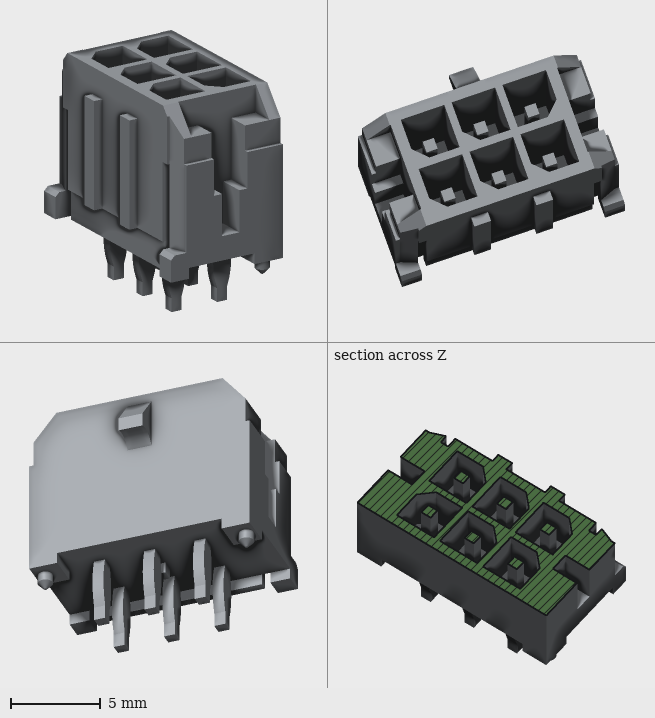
import cadquery as cq


overall_length = 13.15
cheek_thickness = 0.25
top_z = 9.9
underside_z = 0.65
back_y = 3.43
front_y = -back_y
end_x = overall_length / 2
shell_x = end_x - cheek_thickness
core_x = 4.9

front_edge_x = 5.39
slant_inner_y = -3.29
slant_outer_y = -2.92
cheek_top_z = 6.75
corner_chamfer_x = 1.37
shelf_z = 8.25
shelf_front_y = -2.42
shelf_back_y = 2.7

wide_channel_width = 2.2
wide_channel_floor_z = 4.59
narrow_channel_width = 1.13
narrow_channel_floor_z = 2.09

corner_slot_top_z = 6.54
skirt_top_z = 1.81
skirt_setback = 0.2
rib_width = 0.99
rib_offset_x = 1.83
rib_front_y = -3.97
rib_top_z = 8.3

front_foot_y = -3.93
front_foot_back_y = -2.76
front_foot_top_z = 1.56
front_foot_chamfer = 0.25
back_foot_front_y = 1.58
standoff_size = 0.68
peg_x = 6.0
peg_y = 2.43
peg_radius = 0.43
peg_shoulder_z = -0.53
peg_tip_z = -0.9
peg_tip_radius = 0.08

pitch = 3.0
pocket_size = 2.56
pocket_key = 0.79
pocket_floor_z = 1.81
pin_size = 0.66
pin_top_z = 7.23
pin_bottom_z = -3.18
bulge_half_width = 0.59
bulge_z = -0.82
bulge_half_height = 1.55

latch_width = 1.42
latch_tip_y = 4.83
latch_top_z = 9.34
latch_tip_top_z = 7.72
latch_tip_bottom_z = 6.93
latch_root_z = 6.45
latch_crown_y = 4.15
latch_crown_z = 7.01


def block(x0, x1, y0, y1, z0, z1):
    """Rectangular block between two opposite corners."""
    return cq.Workplane("XY").box(x1 - x0, y1 - y0, z1 - z0, centered=False).translate((x0, y0, z0))


def both_ends(solid):
    """A solid at the +X end joined with its mirror image at the -X end."""
    return solid.union(solid.mirror("YZ"))


def extrude_along_x(profile, length, centre_x):
    """Extrude a closed YZ profile symmetrically about X = centre_x."""
    return profile.extrude(length / 2, both=True).translate((centre_x, 0, 0))


def shell():
    """Housing block with slanted front corners and chamfered upper ends."""
    half_outline = [
        (shell_x, back_y),
        (shell_x, slant_outer_y),
        (front_edge_x, slant_inner_y),
        (front_edge_x, front_y),
    ]
    mirrored_outline = [(-x, y) for x, y in reversed(half_outline)]
    body = (
        cq.Workplane("XY", origin=(0, 0, underside_z))
        .polyline(half_outline + mirrored_outline)
        .close()
        .extrude(top_z - underside_z)
    )
    corner = (
        cq.Workplane("XZ")
        .polyline([(shell_x - corner_chamfer_x, top_z), (shell_x, shelf_z), (shell_x, top_z)])
        .close()
        .extrude(back_y, both=True)
    )
    return body.cut(both_ends(corner))


def cheeks():
    """Thin plates that thicken the lower part of both ends."""
    return both_ends(block(shell_x, end_x, slant_outer_y, back_y, underside_z, cheek_top_z))


def feet():
    """Chamfered front feet and plain back feet at both ends."""
    front_foot = (
        block(front_edge_x, end_x, front_foot_y, front_foot_back_y, 0, front_foot_top_z)
        .edges("<Y and >Z")
        .chamfer(front_foot_chamfer)
    )
    back_foot = block(core_x, end_x, back_foot_front_y, back_y, 0, underside_z)
    return both_ends(front_foot.union(back_foot))


def skirt():
    """Front wall that carries the housing front down to the standing plane."""
    return block(-core_x, core_x, front_y, front_foot_back_y, 0, underside_z)


def standoff():
    """Square post under the middle of the housing."""
    half = standoff_size / 2
    return block(-half, half, -half, half, 0, underside_z)


def end_recesses():
    """Open shelves and the stepped channel cut into both ends."""
    shelf = block(core_x, end_x, shelf_front_y, shelf_back_y, shelf_z, top_z)
    half_wide = wide_channel_width / 2
    half_narrow = narrow_channel_width / 2
    wide = block(core_x, end_x, -half_wide, half_wide, wide_channel_floor_z, top_z)
    narrow = block(core_x, end_x, -half_narrow, half_narrow, narrow_channel_floor_z, top_z)
    return both_ends(shelf.union(wide).union(narrow))


def front_recesses():
    """Vertical slots beside the front corners and the set-back of the skirt."""
    slot = block(core_x, front_edge_x, front_y, front_foot_back_y, 0, corner_slot_top_z)
    setback = block(-core_x, core_x, front_y, front_y + skirt_setback, 0, skirt_top_z)
    return both_ends(slot).union(setback)


def ribs():
    """Two vertical ribs on the front face."""
    rib = block(
        rib_offset_x - rib_width / 2,
        rib_offset_x + rib_width / 2,
        rib_front_y,
        front_y + skirt_setback,
        skirt_top_z,
        rib_top_z,
    )
    return both_ends(rib)


def pocket(x, y, key_on_right):
    """Square contact pocket with one front corner cut off as a key."""
    side = ">X" if key_on_right else "<X"
    half = pocket_size / 2
    return (
        block(x - half, x + half, y - half, y + half, pocket_floor_z, top_z)
        .edges(f"|Z and <Y and {side}")
        .chamfer(pocket_key)
    )


def pin(x, y):
    """Square contact pin whose tail bulges into a press-fit section."""
    half = pin_size / 2
    neck_z = bulge_z - bulge_half_height
    shoulder_z = bulge_z + bulge_half_height
    profile = (
        cq.Workplane("YZ")
        .moveTo(y - half, pin_bottom_z)
        .lineTo(y + half, pin_bottom_z)
        .lineTo(y + half, neck_z)
        .threePointArc((y + bulge_half_width, bulge_z), (y + half, shoulder_z))
        .lineTo(y + half, pin_top_z)
        .lineTo(y - half, pin_top_z)
        .lineTo(y - half, shoulder_z)
        .threePointArc((y - bulge_half_width, bulge_z), (y - half, neck_z))
        .close()
    )
    return extrude_along_x(profile, pin_size, x)


def pegs():
    """Round locating pegs with conical tips under the back feet."""
    peg = (
        cq.Workplane("XZ")
        .polyline([
            (0, underside_z),
            (peg_radius, underside_z),
            (peg_radius, peg_shoulder_z),
            (peg_tip_radius, peg_tip_z),
            (0, peg_tip_z),
        ])
        .close()
        .revolve(360, (0, 0, 0), (0, 1, 0))
        .translate((peg_x, peg_y, 0))
    )
    return both_ends(peg)


def latch():
    """Ramped latch on the back face with a hollowed underside."""
    profile = (
        cq.Workplane("YZ")
        .moveTo(back_y, latch_top_z)
        .lineTo(latch_tip_y, latch_tip_top_z)
        .lineTo(latch_tip_y, latch_tip_bottom_z)
        .threePointArc((latch_crown_y, latch_crown_z), (back_y, latch_root_z))
        .close()
    )
    return extrude_along_x(profile, latch_width, 0)


housing = shell().union(cheeks()).union(skirt())
housing = housing.cut(end_recesses()).cut(front_recesses())
for addition in (feet(), standoff(), ribs(), pegs(), latch()):
    housing = housing.union(addition)

grid = [(column * pitch, row * pitch / 2) for column in (-1, 0, 1) for row in (-1, 1)]
for x, y in grid:
    key_on_right = x > 0 and y > 0
    housing = housing.cut(pocket(x, y, key_on_right))
for x, y in grid:
    housing = housing.union(pin(x, y))

result = housing